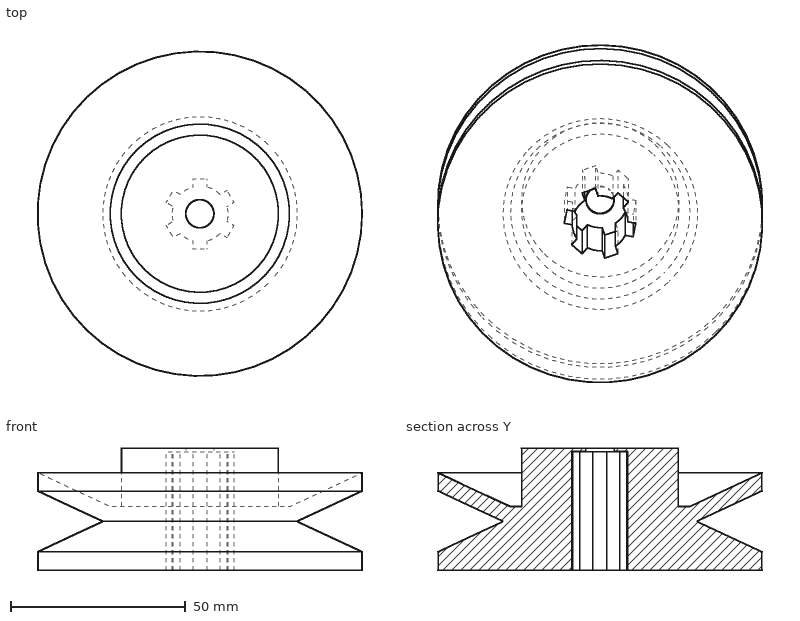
import cadquery as cq
import math

rim_diameter = 93.0
rim_width = 5.3
flange_height = 28.0
total_height = 35.0
groove_side_angle = 25.0
hub_diameter = 45.0
dish_floor_diameter = 51.3

bore_diameter = 8.0
lid_thickness = 1.0
socket_diameter = 16.0
slot_count = 6
slot_width = 4.0
slot_reach = 10.0
first_slot_angle = 30.0

rim_radius = rim_diameter / 2
hub_radius = hub_diameter / 2
dish_floor_radius = dish_floor_diameter / 2
flank_slope = math.tan(math.radians(groove_side_angle))
groove_mid_height = flange_height / 2
groove_depth = (groove_mid_height - rim_width) / flank_slope
groove_root_radius = rim_radius - groove_depth
socket_height = total_height - lid_thickness

dish_depth = (rim_radius - dish_floor_radius) * flank_slope
dish_floor_height = flange_height - dish_depth


def pulley_body():
    """Revolve the half section: flat base, V groove, dished top and hub."""
    half_section = [
        (0, 0),
        (rim_radius, 0),
        (rim_radius, rim_width),
        (groove_root_radius, groove_mid_height),
        (rim_radius, flange_height - rim_width),
        (rim_radius, flange_height),
        (dish_floor_radius, dish_floor_height),
        (hub_radius, dish_floor_height),
        (hub_radius, total_height),
        (0, total_height),
    ]
    return cq.Workplane("XZ").polyline(half_section).close().revolve(360, (0, 0), (0, 1))


def shaft_bore():
    """Round hole through the lid that closes the top of the socket."""
    return cq.Workplane("XY").circle(bore_diameter / 2).extrude(total_height)


def splined_socket():
    """Round socket open at the bottom face, with flat-ended slots around it."""
    socket = cq.Workplane("XY").circle(socket_diameter / 2).extrude(socket_height)
    for slot in range(slot_count):
        angle = first_slot_angle + slot * 360 / slot_count
        radial_slot = (
            cq.Workplane("XY")
            .rect(slot_reach, slot_width)
            .extrude(socket_height)
            .translate((slot_reach / 2, 0, 0))
            .rotate((0, 0, 0), (0, 0, 1), angle)
        )
        socket = socket.union(radial_slot)
    return socket


result = pulley_body().cut(shaft_bore()).cut(splined_socket())